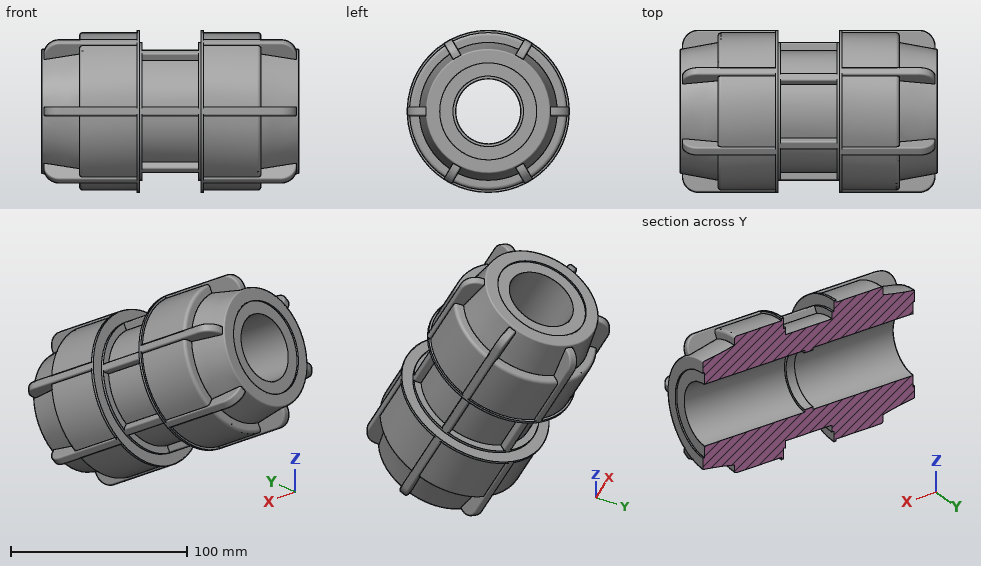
import cadquery as cq

length = 146.0
half_length = length / 2
rib_count = 6

flange_radius = 46.0
barrel_radius = 44.7
shoulder_radius = 39.1
mouth_radius = 35.2
barrel_start = 21.6
flange_end = 55.6
flange_width = 1.5
barrel_fillet = 1.9
mouth_fillet = 0.9

collar_radius = 39.1
collar_width = 1.5
core_radius = 34.7
collar_end = flange_end + collar_width

bore_radius = 40.0 / 2
stop_radius = 36.8 / 2
stop_width = 5.8
recess_radius = 55.0 / 2
recess_depth = 1.0

rib_thickness = 5.1
rib_edge_fillet = 1.0
rib_tip_start = 1.3
rib_tip_radius = 9.2
rib_root_radius = 29.2


def cylinder(radius, start, end):
    return cq.Workplane("YZ", origin=(start, 0, 0)).circle(radius).extrude(end - start)


def both_ends(half):
    """Join a left-hand half with its mirror image about the middle of the part."""
    return half.union(half.mirror("YZ", basePointVector=(half_length, 0, 0)))


def around_axis(rib):
    """Repeat a rib evenly around the X axis."""
    ribs = rib
    for index in range(1, rib_count):
        ribs = ribs.union(rib.rotate((0, 0, 0), (1, 0, 0), index * 360 / rib_count))
    return ribs


def nut_shell():
    """Tapered mouth, barrel and end flange of the left-hand nut, without its bore."""
    mouth = (
        cq.Workplane("XY")
        .moveTo(0, 0)
        .lineTo(0, mouth_radius)
        .lineTo(barrel_start, shoulder_radius)
        .lineTo(barrel_start, 0)
        .close()
        .revolve(360, (0, 0, 0), (1, 0, 0))
        .faces("<X")
        .edges()
        .fillet(mouth_fillet)
    )
    barrel = cylinder(barrel_radius, barrel_start, flange_end).faces("<X").edges().fillet(barrel_fillet)
    flange = cylinder(flange_radius, flange_end - flange_width, flange_end)
    return mouth.union(barrel).union(flange)


def nut_rib():
    """Grip rib at +Y, with a rounded free corner and softened outer edges."""
    rib = (
        cq.Workplane("XY", origin=(0, 0, -rib_thickness / 2))
        .moveTo(rib_tip_start, rib_root_radius)
        .lineTo(rib_tip_start, flange_radius - rib_tip_radius)
        .radiusArc((rib_tip_start + rib_tip_radius, flange_radius), rib_tip_radius)
        .lineTo(flange_end, flange_radius)
        .lineTo(flange_end, rib_root_radius)
        .close()
        .extrude(rib_thickness)
    )
    return rib.faces("<X or >Y").edges("|X").fillet(rib_edge_fillet)


def core_rib():
    """Straight rib at +Y along the core, as high as the collars."""
    rib_length = length - 2 * flange_end
    return (
        cq.Workplane("XY")
        .box(rib_length, collar_radius - rib_root_radius, rib_thickness)
        .edges("|X and >Y")
        .fillet(rib_edge_fillet)
        .translate((half_length, (collar_radius + rib_root_radius) / 2, 0))
    )


def bore():
    """Through bore with a central pipe stop and a shallow recess in each mouth."""
    stop = cylinder(stop_radius, 0, length)
    socket = cylinder(bore_radius, 0, half_length - stop_width / 2)
    recess = cylinder(recess_radius, 0, recess_depth)
    return stop.union(both_ends(socket.union(recess)))


nuts = both_ends(nut_shell().union(around_axis(nut_rib())))
core = cylinder(core_radius, flange_end, length - flange_end)
collars = both_ends(cylinder(collar_radius, flange_end, collar_end))

result = nuts.union(core).union(collars).union(around_axis(core_rib())).cut(bore())